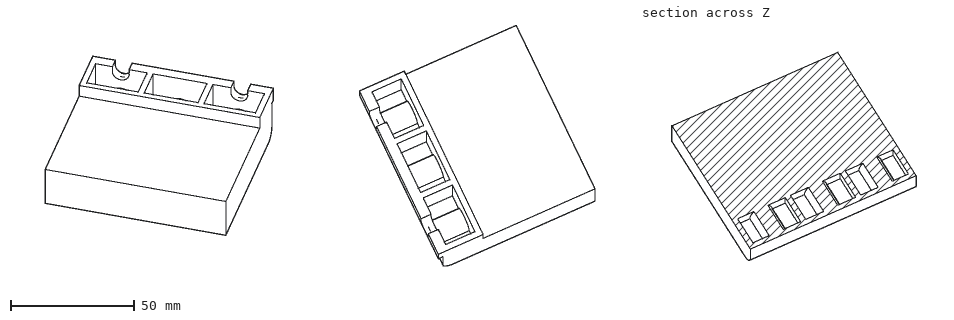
import cadquery as cq

width = 76.2
depth = 70.0
height = 23.0

rim_depth = 20.05
rim_rise = 5.5
lip_overhang = 2.05
lip_height = 6.3
rear_corner_radius = 4.95

wall = 2.5
back_wall = 4.5
middle_pocket_width = 22.7
pocket_depth = 15.4

saddle_radius = 5.1
saddle_spacing = 25.0

slot_width = 7.0
slot_depth = 6.0

step_y = depth - rim_depth
rear_face_y = depth - lip_overhang
pocket_front_y = step_y + wall
pocket_back_y = depth - back_wall
pocket_length = pocket_back_y - pocket_front_y
pocket_center_y = (pocket_front_y + pocket_back_y) / 2
pocket_floor_z = height - pocket_depth
outer_pocket_width = (width - middle_pocket_width) / 2 - 2 * wall
outer_pocket_x = (width - outer_pocket_width) / 2 - wall


def make_body():
    """Extrude the stepped side profile across X and round its lower rear edge."""
    profile = [
        (0, 0),
        (rear_face_y, 0),
        (rear_face_y, height - lip_height),
        (depth, height - lip_height),
        (depth, height),
        (step_y, height),
        (step_y, height - rim_rise),
        (0, height - rim_rise),
    ]
    body = cq.Workplane("YZ").polyline(profile).close().extrude(width / 2, both=True)
    return body.edges("|X").edges("<Z").edges(">Y").fillet(rear_corner_radius)


def make_pocket(center_x, pocket_width):
    """Rectangular volume of one pocket, from its floor to the top of the rim."""
    return (
        cq.Workplane("XY", origin=(center_x, pocket_center_y, pocket_floor_z))
        .rect(pocket_width, pocket_length)
        .extrude(pocket_depth)
    )


def make_saddle(center_x):
    """Half cylinder lying along Y on the pocket floor, from front wall to back wall."""
    return (
        cq.Workplane("XZ", origin=(center_x, pocket_back_y, pocket_floor_z))
        .moveTo(-saddle_radius, 0)
        .threePointArc((0, saddle_radius), (saddle_radius, 0))
        .close()
        .extrude(pocket_length)
    )


def make_slot(center_x):
    """Open-topped slot with a half-round bottom, running through the back wall."""
    slot_radius = slot_width / 2
    straight_depth = slot_depth - slot_radius
    return (
        cq.Workplane("XZ", origin=(center_x, depth, height))
        .moveTo(-slot_radius, 0)
        .lineTo(-slot_radius, -straight_depth)
        .threePointArc((0, -slot_depth), (slot_radius, -straight_depth))
        .lineTo(slot_radius, 0)
        .close()
        .extrude(back_wall)
    )


result = make_body()

pockets = [
    (-outer_pocket_x, outer_pocket_width),
    (0, middle_pocket_width),
    (outer_pocket_x, outer_pocket_width),
]
for pocket_x, pocket_width in pockets:
    result = result.cut(make_pocket(pocket_x, pocket_width))

for saddle_x in (-saddle_spacing, 0, saddle_spacing):
    result = result.union(make_saddle(saddle_x))

for slot_x in (-saddle_spacing, saddle_spacing):
    result = result.cut(make_slot(slot_x))